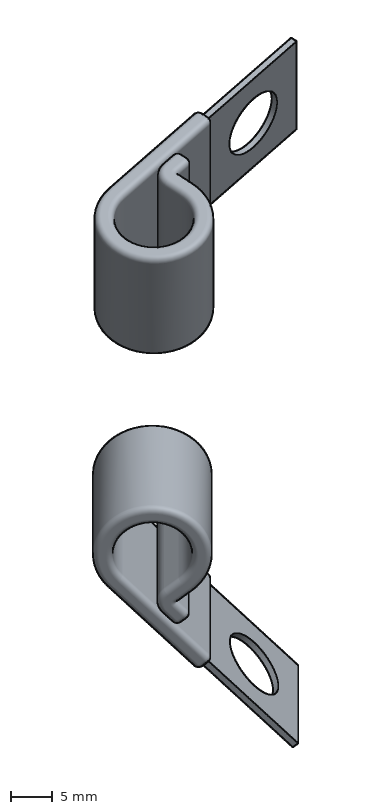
import cadquery as cq


total_length = 39.65
loop_diameter = 14.25
band_height = 17.4
band_thickness = 2.38
edge_radius = 0.75
arm_end_y = 16.3
hook_end_y = 9.7
hole_diameter = 8.72
bend_inner_radius = 0.02

strap_thickness = band_thickness - 2 * edge_radius
strap_height = band_height - 2 * edge_radius
outer_radius = loop_diameter / 2
mid_radius = outer_radius - band_thickness / 2
strap_end_y = total_length - outer_radius
hole_y = strap_end_y - strap_height / 2
arm_x = -mid_radius
hook_x = arm_x + band_thickness
bend_radius = bend_inner_radius + band_thickness / 2
bend_x = hook_x + bend_radius
bend_y = mid_radius + bend_radius


def band_section(plane):
    """Rounded rectangular cross-section of the cushion band, centred on a plane."""
    return (
        cq.Workplane(plane)
        .sketch()
        .rect(band_thickness, band_height)
        .vertices()
        .fillet(edge_radius)
        .finalize()
    )


def straight_end(center_x, start_y, end_y):
    """Straight band length along +Y with a free end rounded on all edges."""
    length = end_y - start_y
    return (
        cq.Workplane("XY")
        .box(band_thickness, length, band_height)
        .edges("|Y or >Y")
        .fillet(edge_radius)
        .translate((center_x, start_y + length / 2, 0))
    )


def loop():
    """Three-quarter loop from the arm, below the axis, round to the top."""
    section_plane = cq.Plane(origin=(arm_x, 0, 0), xDir=(1, 0, 0), normal=(0, -1, 0))
    return band_section(section_plane).revolve(270, (mid_radius, 0, 0), (mid_radius, 1, 0))


def bridge():
    """Straight band length along X between the loop and the hook bend."""
    section_plane = cq.Plane(origin=(bend_x, mid_radius, 0), xDir=(0, 1, 0), normal=(1, 0, 0))
    return band_section(section_plane).extrude(-bend_x)


def hook_bend():
    """Quarter bend turning the bridge up into the hook tip."""
    section_plane = cq.Plane(origin=(hook_x, bend_y, 0), xDir=(1, 0, 0), normal=(0, -1, 0))
    return band_section(section_plane).revolve(90, (bend_radius, 0, 0), (bend_radius, 1, 0))


def mounting_tab():
    """Bare strap beyond the cushion, pierced by the mounting hole along X."""
    tab = cq.Workplane("XY").box(strap_thickness, strap_end_y, strap_height)
    tab = tab.translate((arm_x, strap_end_y / 2, 0))
    hole = (
        cq.Workplane("YZ", origin=(arm_x, hole_y, 0))
        .circle(hole_diameter / 2)
        .extrude(strap_thickness, both=True)
    )
    return tab.cut(hole)


result = (
    loop()
    .union(straight_end(arm_x, 0, arm_end_y))
    .union(mounting_tab())
    .union(bridge())
    .union(hook_bend())
    .union(straight_end(hook_x, bend_y, hook_end_y))
)